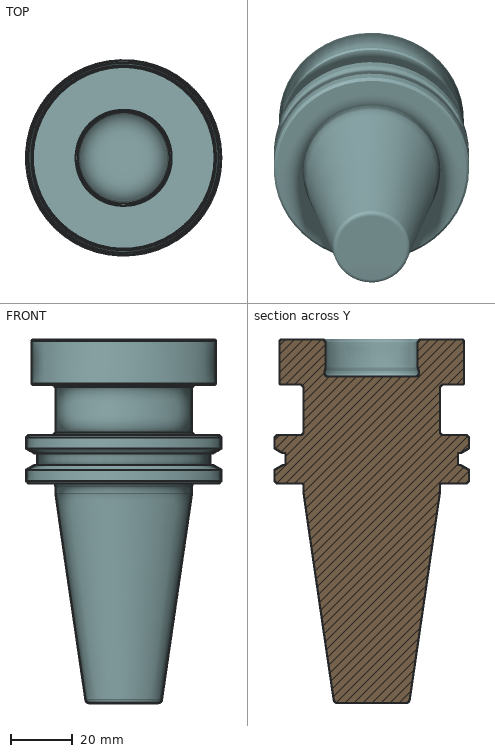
import cadquery as cq

total_height = 118.2
gauge_height = 68.2
flange_bottom = 71.4
flange_top = 87.3
head_height = 14.8

flange_radius = 63.5 / 2
head_radius = 30.0
neck_radius = 22.2
taper_slope = 7 / 48
taper_end_radius = neck_radius - gauge_height * taper_slope

head_chamfer = 0.5
neck_chamfer = 0.7
flange_chamfer = 0.8
collar_flare = 0.18
collar_flare_height = 1.0
taper_end_fillet = 1.4

groove_middle = 79.3
groove_floor_radius = 56.4 / 2
groove_shoulder_radius = 29.0
groove_floor_half_width = 3.8 / 2
groove_mouth_half_width = 7.0 / 2

bore_radius = 14.9
bore_mouth_radius = 15.6
bore_mouth_depth = 1.0
bore_depth = 12.0
relief_radius = 15.3
relief_start_depth = 9.2
relief_full_depth = 10.3
relief_floor_fillet = 1.0


def revolve_about_z(profile):
    """Full turn of a closed XZ profile about the Z axis."""
    return profile.revolve(360, (0, 0), (0, 1))


def make_body():
    """Revolve the outer outline of taper, flange, neck and head."""
    head_bottom = total_height - head_height
    outline = [
        (0, 0),
        (taper_end_radius, 0),
        (neck_radius, gauge_height),
        (neck_radius, flange_bottom - collar_flare_height),
        (neck_radius + collar_flare, flange_bottom),
        (flange_radius - flange_chamfer, flange_bottom),
        (flange_radius, flange_bottom + flange_chamfer),
        (flange_radius, flange_top - flange_chamfer),
        (flange_radius - flange_chamfer, flange_top),
        (neck_radius + neck_chamfer, flange_top),
        (neck_radius, flange_top + neck_chamfer),
        (neck_radius, head_bottom - neck_chamfer),
        (neck_radius + neck_chamfer, head_bottom),
        (head_radius - head_chamfer, head_bottom),
        (head_radius, head_bottom + head_chamfer),
        (head_radius, total_height - head_chamfer),
        (head_radius - head_chamfer, total_height),
        (0, total_height),
    ]
    body = revolve_about_z(cq.Workplane("XZ").polyline(outline).close())
    return body.faces("<Z").edges().fillet(taper_end_fillet)


def make_flange_groove():
    """Ring that cuts the groove into the flange rim."""
    outline = [
        (groove_floor_radius, groove_middle - groove_floor_half_width),
        (groove_shoulder_radius, groove_middle - groove_floor_half_width),
        (flange_radius, groove_middle - groove_mouth_half_width),
        (flange_radius, groove_middle + groove_mouth_half_width),
        (groove_shoulder_radius, groove_middle + groove_floor_half_width),
        (groove_floor_radius, groove_middle + groove_floor_half_width),
    ]
    return revolve_about_z(cq.Workplane("XZ").polyline(outline).close())


def make_bore():
    """Blind bore with a chamfered mouth and a flared relief that curves into the floor."""
    floor = total_height - bore_depth
    profile = (
        cq.Workplane("XZ")
        .moveTo(0, floor)
        .lineTo(relief_radius - relief_floor_fillet, floor)
        .radiusArc((relief_radius, floor + relief_floor_fillet), -relief_floor_fillet)
        .lineTo(relief_radius, total_height - relief_full_depth)
        .lineTo(bore_radius, total_height - relief_start_depth)
        .lineTo(bore_radius, total_height - bore_mouth_depth)
        .lineTo(bore_mouth_radius, total_height)
        .lineTo(0, total_height)
        .close()
    )
    return revolve_about_z(profile)


result = make_body().cut(make_flange_groove()).cut(make_bore())